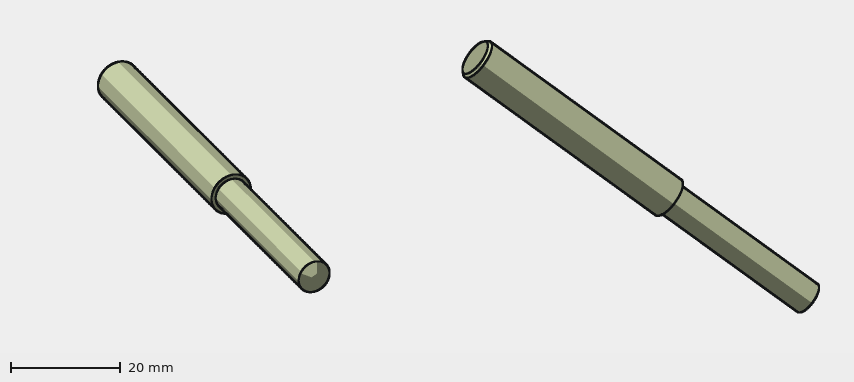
import cadquery as cq
import math

overall_length = 82.0
shank_length = 47.0
shank_diameter = 8.0
chamfer_length = 0.6
chamfer_depth = 0.5
drill_diameter = 6.3
point_angle = 140.0

shank_radius = shank_diameter / 2
drill_radius = drill_diameter / 2
point_length = drill_radius / math.tan(math.radians(point_angle / 2))

back_x = -overall_length / 2
shoulder_x = back_x + shank_length
tip_x = back_x + overall_length
point_base_x = tip_x - point_length

half_profile = (
    cq.Workplane("XY")
    .moveTo(back_x, 0)
    .lineTo(back_x, shank_radius - chamfer_depth)
    .lineTo(back_x + chamfer_length, shank_radius)
    .lineTo(shoulder_x, shank_radius)
    .lineTo(shoulder_x, drill_radius)
    .lineTo(point_base_x, drill_radius)
    .lineTo(tip_x, 0)
    .close()
)
result = half_profile.revolve(360, (0, 0, 0), (1, 0, 0))